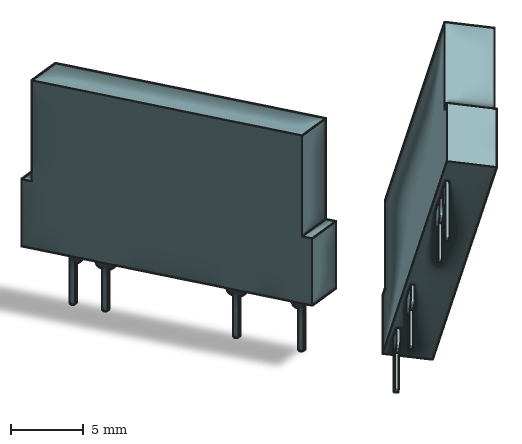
import cadquery as cq

body_length = 22.6
body_thickness = 3.5
upper_length = 21.02
foot_height = 5.0
body_height = 12.5

pin_length = 4.95
pin_thickness = 0.27
pin_back_gap = 0.47
blade_width = 0.45
shoulder_overhang = 0.5
shoulder_height = 1.79
tip_radius = blade_width / 2

pin_layout = [
    (-8.88, (1,)),
    (-6.35, (-1, 1)),
    (3.82, (-1, 1)),
    (8.88, (-1,)),
]

pin_back_y = body_thickness / 2 - pin_back_gap + pin_thickness / 2


def make_body():
    """Foot block with the shorter upper block centred on top; underside at Z = 0."""
    on_base = (True, True, False)
    foot = cq.Workplane("XY").box(body_length, body_thickness, foot_height, centered=on_base)
    upper = cq.Workplane("XY").box(upper_length, body_thickness, body_height, centered=on_base)
    return foot.union(upper)


def pin_plane(x):
    """Upright plane on the rear side of the pins, with its origin on a blade's centre line."""
    return cq.Workplane("XZ", origin=(x, pin_back_y, 0))


def make_blade(x):
    """Narrow blade with a rounded tip."""
    half_width = blade_width / 2
    tip_start = tip_radius - pin_length
    return (
        pin_plane(x)
        .moveTo(-half_width, 0)
        .lineTo(-half_width, tip_start)
        .threePointArc((0, -pin_length), (half_width, tip_start))
        .lineTo(half_width, 0)
        .close()
        .extrude(pin_thickness)
    )


def make_shoulder(x, side):
    """Wider upper part on one side of a blade, with its lower outer corner fully rounded."""
    outer_edge = side * (blade_width / 2 + shoulder_overhang)
    inner_edge = side * blade_width / 2
    return (
        pin_plane(x)
        .moveTo(0, 0)
        .lineTo(outer_edge, 0)
        .lineTo(outer_edge, shoulder_overhang - shoulder_height)
        .radiusArc((inner_edge, -shoulder_height), side * shoulder_overhang)
        .lineTo(0, -shoulder_height)
        .close()
        .extrude(pin_thickness)
    )


result = make_body()
for pin_x, shoulder_sides in pin_layout:
    result = result.union(make_blade(pin_x))
    for shoulder_side in shoulder_sides:
        result = result.union(make_shoulder(pin_x, shoulder_side))